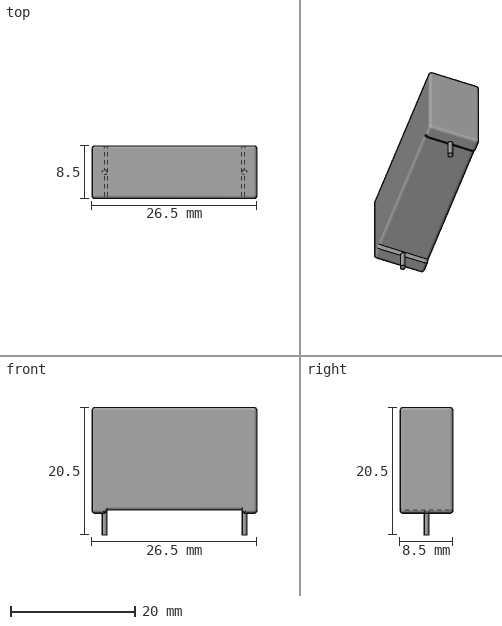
import cadquery as cq

length = 26.5
depth = 8.5
total_height = 20.5
lead_length = 3.5
body_height = total_height - lead_length
edge_radius = 0.5

foot_length = 2.0
recess_height = 0.5
ramp_run = recess_height

lead_diameter = 0.8
lead_pitch = 22.5
lead_embed = 1.32


def make_body():
    """Block with a ramped recess underneath and rounded outer edges."""
    half_length = length / 2
    foot_x = half_length - foot_length
    recess_x = foot_x - ramp_run
    body = (
        cq.Workplane("XZ")
        .moveTo(-half_length, 0)
        .lineTo(-foot_x, 0)
        .lineTo(-recess_x, recess_height)
        .lineTo(recess_x, recess_height)
        .lineTo(foot_x, 0)
        .lineTo(half_length, 0)
        .lineTo(half_length, body_height)
        .lineTo(-half_length, body_height)
        .close()
        .extrude(depth / 2, both=True)
    )
    return body.faces("<Y or >Y or <X or >X").edges().fillet(edge_radius)


def make_leads():
    """Pair of straight leads below the body, centred in its depth."""
    return (
        cq.Workplane("XY", origin=(0, 0, -lead_length))
        .pushPoints([(-lead_pitch / 2, 0), (lead_pitch / 2, 0)])
        .circle(lead_diameter / 2)
        .extrude(lead_length + lead_embed)
    )


result = make_body().union(make_leads())